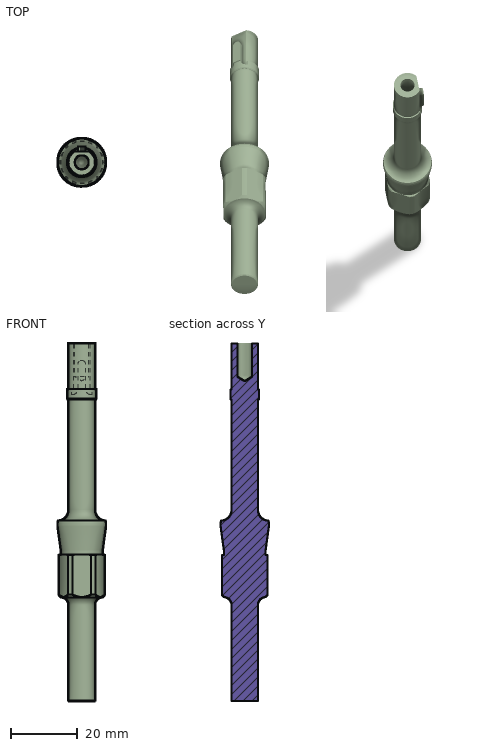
import cadquery as cq
import math

overall_length = 107.1
stem_radius = 4.05
end_chamfer = 0.3

hex_bottom = 31.1
hex_top = 43.9
hex_sides = 6
hex_across_flats = 12.68
hex_corner_radius = 6.93
hex_chamfer_height = 0.8
hex_top_chamfer = 0.2
hex_neck_radius = 2.2
hex_chamfer_radius = stem_radius + hex_neck_radius

collar_radius = 6.3
taper_bottom = 45.0
flange_radius = 7.315
flange_bottom = 52.5
flange_top = 54.1
flange_chamfer_width = 0.2
flange_chamfer_height = 0.7
flange_neck_radius = flange_radius - flange_chamfer_width - stem_radius

ring_radius = 4.4
ring_bottom = 90.2
ring_top = 93.4
ring_chamfer = 0.3

flat_offset = 3.2
key_width = 2.3
key_top = 101.95
key_outer_offset = 4.75
key_root_radius = 1.7

hole_radius = 2.1
hole_depth = 10.0
drill_point_angle = 118.0

clearance = 1.0


def make_stem():
    rod = cq.Workplane("XY").circle(stem_radius).extrude(overall_length)
    return rod.faces("<Z").chamfer(end_chamfer)


def revolve_about_z(profile):
    """Turn a closed XZ half-profile a full turn about the part's Z axis."""
    return profile.revolve(360, (0, 0), (0, 1))


def make_hex_grip():
    """Hexagon with flats facing +Y and -Y, turned down to round corners and chamfered ends."""
    hexagon = (
        cq.Workplane("XY", origin=(0, 0, hex_bottom))
        .polygon(hex_sides, hex_across_flats, circumscribed=True)
        .extrude(hex_top - hex_bottom)
        .rotate((0, 0, 0), (0, 0, 1), 180 / hex_sides)
    )
    profile = (
        cq.Workplane("XZ")
        .moveTo(0, hex_bottom)
        .lineTo(hex_chamfer_radius, hex_bottom)
        .lineTo(hex_corner_radius, hex_bottom + hex_chamfer_height)
        .lineTo(hex_corner_radius, hex_top - hex_top_chamfer)
        .lineTo(hex_corner_radius - hex_top_chamfer, hex_top)
        .lineTo(0, hex_top)
        .close()
    )
    turned_blank = revolve_about_z(profile)
    return hexagon.intersect(turned_blank)


def make_hex_neck():
    """Concave quarter-round blend from the stem up to the underside of the grip."""
    arc_offset = hex_neck_radius * math.sin(math.pi / 4)
    arc_center_radius = hex_chamfer_radius
    arc_center_height = hex_bottom - hex_neck_radius
    profile = (
        cq.Workplane("XZ")
        .moveTo(0, arc_center_height)
        .lineTo(stem_radius, arc_center_height)
        .threePointArc(
            (arc_center_radius - arc_offset, arc_center_height + arc_offset),
            (arc_center_radius, hex_bottom),
        )
        .lineTo(0, hex_bottom)
        .close()
    )
    return revolve_about_z(profile)


def make_collar():
    """Collar that widens into the flange, then sweeps in to the stem through a concave round."""
    arc_offset = flange_neck_radius * math.sin(math.pi / 4)
    arc_center_radius = stem_radius + flange_neck_radius
    arc_center_height = flange_top + flange_neck_radius
    profile = (
        cq.Workplane("XZ")
        .moveTo(0, hex_top)
        .lineTo(collar_radius, hex_top)
        .lineTo(collar_radius, taper_bottom)
        .lineTo(flange_radius, flange_bottom)
        .lineTo(flange_radius, flange_top - flange_chamfer_height)
        .lineTo(arc_center_radius, flange_top)
        .threePointArc(
            (arc_center_radius - arc_offset, arc_center_height - arc_offset),
            (stem_radius, arc_center_height),
        )
        .lineTo(0, arc_center_height)
        .close()
    )
    return revolve_about_z(profile)


def make_ring():
    ring = (
        cq.Workplane("XY", origin=(0, 0, ring_bottom))
        .circle(ring_radius)
        .extrude(ring_top - ring_bottom)
    )
    return ring.faces("<Z").chamfer(ring_chamfer)


def extrude_beyond_flat(profile, outer_offset):
    """Extrude a closed profile lying in the flat from the flat out to the given Y."""
    return profile.extrude(-(outer_offset - flat_offset))


def flat_plane():
    """XZ sketch plane lying in the flat; local X and Y are the part's X and Z."""
    return cq.Workplane("XZ", origin=(0, flat_offset, 0))


def make_flat_cutter():
    """Block that cuts the flat above the ring."""
    half_width = ring_radius + clearance
    profile = (
        flat_plane()
        .moveTo(-half_width, ring_top)
        .lineTo(half_width, ring_top)
        .lineTo(half_width, overall_length + clearance)
        .lineTo(-half_width, overall_length + clearance)
        .close()
    )
    return extrude_beyond_flat(profile, ring_radius + clearance)


def make_key_root_cutter():
    """Two round hollows in the ring that blend down from the sides of the key."""
    hollow_offset = key_width / 2 + key_root_radius
    profile = (
        flat_plane()
        .pushPoints([(-hollow_offset, ring_top), (hollow_offset, ring_top)])
        .circle(key_root_radius)
    )
    return extrude_beyond_flat(profile, ring_radius + clearance)


def make_key():
    """Key rising from the ring against the flat, with a semicircular upper end."""
    half_width = key_width / 2
    profile = (
        flat_plane()
        .moveTo(-half_width, ring_top)
        .lineTo(half_width, ring_top)
        .lineTo(half_width, key_top - half_width)
        .threePointArc((0, key_top), (-half_width, key_top - half_width))
        .close()
    )
    return extrude_beyond_flat(profile, key_outer_offset)


def make_hole():
    """Blind hole from the upper end with a conical drill point."""
    floor = overall_length - hole_depth
    point_depth = hole_radius / math.tan(math.radians(drill_point_angle / 2))
    profile = (
        cq.Workplane("XZ")
        .moveTo(0, floor - point_depth)
        .lineTo(hole_radius, floor)
        .lineTo(hole_radius, overall_length)
        .lineTo(0, overall_length)
        .close()
    )
    return revolve_about_z(profile)


body = (
    make_stem()
    .union(make_hex_neck())
    .union(make_hex_grip())
    .union(make_collar())
    .union(make_ring())
)
body = body.cut(make_flat_cutter()).cut(make_key_root_cutter())
result = body.union(make_key()).cut(make_hole())